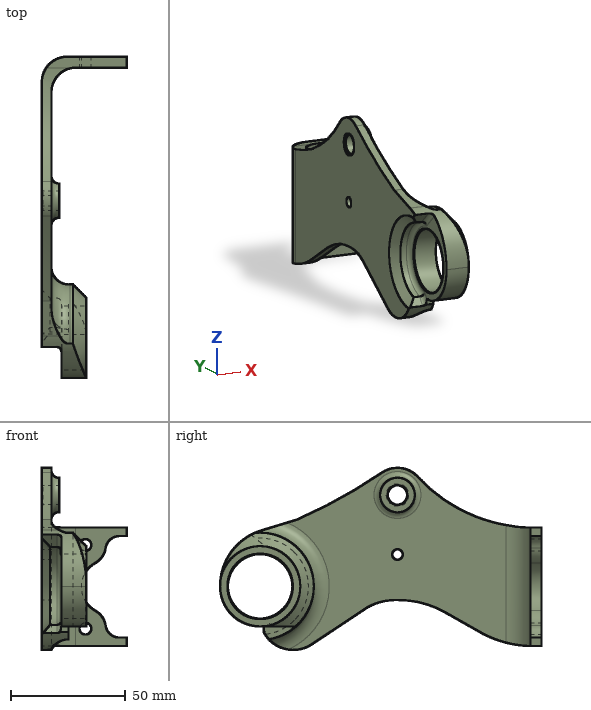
import cadquery as cq
import math

length = 140.5
flange_width = 37.2
plate_thickness = 4.4
flange_thickness = 4.9
bend_outer_radius = 11.2
bend_inner_radius = 10.5

flange_bottom = 1.7
flange_top = 53.5
flange_middle = (flange_bottom + flange_top) / 2
flange_blend_y = length - flange_thickness
ear_tip_height = 3.8
ear_hole_x = 19.1
ear_hole_spacing = 36.5
ear_hole_radius = 2.5
ear_radius = 9.0
ear_corner_radius = 6.0
ear_arc_angle = math.radians(61)

lug_y = 77.5
lug_z = 67.7
lug_radius = 12.0
boss_radius = 7.6
boss_height = 3.4
boss_flare = 2.7
lug_hole_radius = 4.2
lug_hole_chamfer = 0.7
small_hole_z = 41.7
small_hole_radius = 2.2
lug_near_angle = math.radians(124)
lug_far_angle = math.radians(46)

lobe_y = 32.0
lobe_radius = 14.6
lobe_tangent_angle = math.radians(-56)
notch_y = 19.1

ring_z = 27.8
ring_radius = 17.5
ring_y = ring_radius
bore_radius = 14.0
ring_end_x = 19.5
ring_chamfer = 0.3
ring_crown_radius = 25.6
ring_crown_angle = math.radians(106)
hub_radius = 23.5
hub_flare = 6.7
hub_straight_start_x = 12.4
hub_relief_x = 11.8

recess_depth = 8.6
recess_radius = 17.4
recess_mouth_chamfer = 3.7
recess_floor_fillet = 2.0


def on_circle(center_across, center_z, radius, angle):
    """Point (across, z) on a circle in an upright plane."""
    return (center_across + radius * math.cos(angle), center_z + radius * math.sin(angle))


def plate_prism():
    """Plate and ring outline, extruded over the full flange width."""
    notch_z = lobe_radius - math.sqrt(lobe_radius**2 - (lobe_y - notch_y) ** 2)
    ring_start_z = ring_z - math.sqrt(ring_radius**2 - (notch_y - ring_y) ** 2)
    return (
        cq.Workplane("YZ")
        .moveTo(length, flange_bottom)
        .lineTo(flange_blend_y, flange_bottom)
        .threePointArc((125.3, 3.1), (115.2, 6.9))
        .lineTo(98.4, 16.5)
        .threePointArc((88.2, 20.5), (lug_y, 21.8))
        .threePointArc((70.7, 21.1), (64.3, 18.5))
        .lineTo(*on_circle(lobe_y, lobe_radius, lobe_radius, lobe_tangent_angle))
        .threePointArc((lobe_y, 0), (notch_y, notch_z))
        .lineTo(notch_y, ring_start_z)
        .threePointArc(on_circle(ring_y, ring_z, ring_radius, math.radians(225)), (0, ring_z))
        .threePointArc(
            on_circle(ring_crown_radius, ring_z, ring_crown_radius, math.radians(145)),
            on_circle(ring_crown_radius, ring_z, ring_crown_radius, ring_crown_angle),
        )
        .lineTo(33.7, 57.0)
        .threePointArc((52.0, 66.0), on_circle(lug_y, lug_z, lug_radius, lug_near_angle))
        .threePointArc(
            (lug_y, lug_z + lug_radius),
            on_circle(lug_y, lug_z, lug_radius, lug_far_angle),
        )
        .threePointArc((107.5, 60.1), (flange_blend_y, flange_top))
        .lineTo(length, flange_top)
        .close()
        .extrude(flange_width)
    )


def bent_sheet():
    """L-shaped sheet seen along Z, with rounded bend."""
    sheet_top = lug_z + lug_radius
    outer = (
        cq.Workplane("XY")
        .rect(flange_width, length, centered=False)
        .extrude(sheet_top)
        .edges("|Z and <X and >Y")
        .fillet(bend_outer_radius)
    )
    inside = (
        cq.Workplane("XY")
        .moveTo(plate_thickness, 0)
        .rect(flange_width, length - flange_thickness, centered=False)
        .extrude(sheet_top)
        .edges("|Z and <X and >Y")
        .fillet(bend_inner_radius)
    )
    return outer.cut(inside)


def turned(profile, center_y, center_z):
    """Revolve a (radius, x) profile about an axis along X."""
    solid = profile.close().revolve(360, (0, 0, 0), (0, 1, 0))
    return solid.rotate((0, 0, 0), (0, 0, 1), -90).translate((0, center_y, center_z))


def flared_boss():
    """Boss on the inner face, flaring out into the plate."""
    mid = 1 - math.sqrt(0.5)
    profile = (
        cq.Workplane("XY")
        .lineTo(boss_radius + boss_flare, 0)
        .lineTo(boss_radius + boss_flare, plate_thickness)
        .threePointArc(
            (boss_radius + boss_flare * mid, plate_thickness + boss_height * mid),
            (boss_radius, plate_thickness + boss_height),
        )
        .lineTo(0, plate_thickness + boss_height)
    )
    return turned(profile, lug_y, lug_z)


def ring_hub():
    """Hub around the bore: flare, short cylinder and 45 degree cone."""
    flare_height = hub_straight_start_x - plate_thickness
    mid = 1 - math.sqrt(0.5)
    cone_height = hub_radius - ring_radius
    profile = (
        cq.Workplane("XY")
        .lineTo(hub_radius + hub_flare, 0)
        .lineTo(hub_radius + hub_flare, plate_thickness)
        .threePointArc(
            (hub_radius + hub_flare * mid, plate_thickness + flare_height * mid),
            (hub_radius, hub_straight_start_x),
        )
        .lineTo(hub_radius, ring_end_x - cone_height)
        .lineTo(ring_radius, ring_end_x)
        .lineTo(0, ring_end_x)
    )
    return turned(profile, ring_y, ring_z)


def hub_relief():
    """Space below the ring where the hub is trimmed flush with the ring's underside."""
    block = cq.Workplane("XY").moveTo(hub_relief_x, 0)
    block = block.rect(ring_end_x - hub_relief_x, ring_y + hub_radius + hub_flare, centered=False)
    return block.extrude(ring_z - ring_radius)


def ring_recess():
    """Round recess with a wedge-shaped opening and a filleted floor edge."""
    wedge = (
        cq.Workplane("YZ")
        .polyline([(22.9, 12.1), (19.1, 7.0), (12.6, -1.4), (-7.0, -1.4), (-7.0, 67.3), (21.1, 44.3)])
        .close()
        .extrude(recess_depth)
    )
    pocket = cq.Workplane("YZ").center(ring_y, ring_z).circle(recess_radius).extrude(recess_depth)
    recess = pocket.union(wedge).faces(">X").edges().fillet(recess_floor_fillet)
    mouth = cq.Workplane("XY").lineTo(recess_radius + recess_mouth_chamfer, 0)
    mouth = mouth.lineTo(recess_radius, recess_mouth_chamfer).lineTo(0, recess_mouth_chamfer)
    return recess.union(turned(mouth, ring_y, ring_z))


def hole(center_y, center_z, radius):
    return cq.Workplane("YZ").center(center_y, center_z).circle(radius).extrude(flange_width)


def countersink(x, center_y, center_z, radius, chamfer, direction):
    """Chamfer cutter for a hole rim, narrowing from x along direction (+1 or -1)."""
    cone = cq.Solid.makeCone(
        radius + chamfer, radius, chamfer,
        cq.Vector(x, center_y, center_z), cq.Vector(direction, 0, 0),
    )
    return cq.Workplane(cone)


def flange_opening():
    """Opening that leaves two eared arms on the flange."""
    half_spacing = ear_hole_spacing / 2
    ear_tip_z = (flange_top - flange_bottom) / 2 - ear_tip_height
    cos_a = math.cos(ear_arc_angle)
    sin_a = math.sin(ear_arc_angle)
    ear_end_x = ear_hole_x + ear_radius * cos_a
    ear_end_z = half_spacing - ear_radius * sin_a
    inner_radius = ear_end_z / sin_a
    inner_x = ear_end_x + inner_radius * cos_a - inner_radius
    corner_z = ear_tip_z - ear_corner_radius
    reach = ear_radius + ear_corner_radius
    drop = half_spacing - corner_z
    corner_x = ear_hole_x + math.sqrt(reach**2 - drop**2)
    touch_x = ear_hole_x + (corner_x - ear_hole_x) * ear_radius / reach
    touch_z = half_spacing - drop * ear_radius / reach
    ear_mid_angle = math.radians(-35)
    ear_mid = on_circle(ear_hole_x, half_spacing, ear_radius, ear_mid_angle)
    corner_mid_angle = math.radians(130)
    corner_mid = on_circle(corner_x, corner_z, ear_corner_radius, corner_mid_angle)
    return (
        cq.Workplane("XZ", origin=(0, length, flange_middle))
        .moveTo(flange_width, ear_tip_z)
        .lineTo(corner_x, ear_tip_z)
        .threePointArc(corner_mid, (touch_x, touch_z))
        .threePointArc(ear_mid, (ear_end_x, ear_end_z))
        .threePointArc((inner_x, 0), (ear_end_x, -ear_end_z))
        .threePointArc((ear_mid[0], -ear_mid[1]), (touch_x, -touch_z))
        .threePointArc((corner_mid[0], -corner_mid[1]), (corner_x, -ear_tip_z))
        .lineTo(flange_width, -ear_tip_z)
        .close()
        .extrude(flange_thickness)
    )


def flange_holes():
    half_spacing = ear_hole_spacing / 2
    return (
        cq.Workplane("XZ", origin=(0, length, flange_middle))
        .pushPoints([(ear_hole_x, half_spacing), (ear_hole_x, -half_spacing)])
        .circle(ear_hole_radius)
        .extrude(flange_thickness)
    )


body = bent_sheet().union(flared_boss()).union(ring_hub().cut(hub_relief())).intersect(plate_prism())
body = body.cut(ring_recess())
body = body.cut(hole(ring_y, ring_z, bore_radius))
for rim_x, direction in ((recess_depth, 1), (ring_end_x, -1)):
    body = body.cut(countersink(rim_x, ring_y, ring_z, bore_radius, ring_chamfer, direction))
body = body.cut(hole(lug_y, lug_z, lug_hole_radius))
body = body.cut(countersink(0, lug_y, lug_z, lug_hole_radius, lug_hole_chamfer, 1))
body = body.cut(hole(lug_y, small_hole_z, small_hole_radius))
body = body.cut(flange_opening()).cut(flange_holes())

result = body